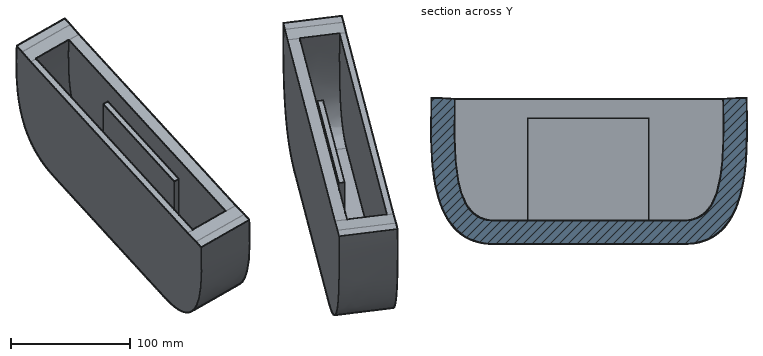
import cadquery as cq

WIDTH = 265.5
DEPTH = 50.0
HEIGHT = 122.7
HALF_WIDTH = WIDTH / 2

TOP_HALF_WIDTH = 132.3
CORNER_RUN = 53.0
FLAT_HALF_WIDTH = HALF_WIDTH - CORNER_RUN
SIDE_BULGE = 1.7
SIDE_PULL = 51.8
BOTTOM_PULL = 55.0

SHELL_THICKNESS = 20.0
FRONT_WALL = 5.5
BACK_WALL = 10.4
POCKET_DEPTH = DEPTH - FRONT_WALL - BACK_WALL
POCKET_BACK_Y = DEPTH - BACK_WALL
POCKET_TOP_HALF_WIDTH = TOP_HALF_WIDTH - SHELL_THICKNESS
POCKET_SIDE_PULL = 62.7
POCKET_BOTTOM_PULL = 31.3

TOP_END_WIDTH = 8.2
RIM_DROP = 0.75

PLATE_WIDTH = 101.7
PLATE_OFFSET = 0.5
PLATE_THICKNESS = 4.8
PLATE_BACK_GAP = 4.3
PLATE_TOP_DROP = 17.3


def rounded_prism(top_half_width, floor_z, side_pull, bottom_pull, back_y, depth):
    """Prism with a straight top, two swept sides and a flat bottom, running forward from back_y."""
    right = [
        (top_half_width, HEIGHT),
        (top_half_width + SIDE_BULGE, HEIGHT - side_pull),
        (FLAT_HALF_WIDTH + bottom_pull, floor_z),
        (FLAT_HALF_WIDTH, floor_z),
    ]
    left = [(-x, z) for x, z in reversed(right)]
    return (
        cq.Workplane("XZ", origin=(0, back_y, 0))
        .moveTo(*right[0])
        .bezier(right)
        .lineTo(*left[0])
        .bezier(left)
        .close()
        .extrude(depth)
    )


def make_top_dip():
    """Shallow dip along the top: a ramp in from each flat end, level between them."""
    ramp_top = HALF_WIDTH - TOP_END_WIDTH
    ramp_foot = POCKET_TOP_HALF_WIDTH
    rim_z = HEIGHT - RIM_DROP
    return (
        cq.Workplane("XZ", origin=(0, DEPTH, 0))
        .polyline([(-ramp_top, HEIGHT), (-ramp_foot, rim_z), (ramp_foot, rim_z), (ramp_top, HEIGHT)])
        .close()
        .extrude(DEPTH)
    )


def make_housing():
    body = rounded_prism(TOP_HALF_WIDTH, 0, SIDE_PULL, BOTTOM_PULL, DEPTH, DEPTH)
    pocket = rounded_prism(
        POCKET_TOP_HALF_WIDTH,
        SHELL_THICKNESS,
        POCKET_SIDE_PULL,
        POCKET_BOTTOM_PULL,
        POCKET_BACK_Y,
        POCKET_DEPTH,
    )
    return body.cut(make_top_dip()).cut(pocket)


def make_plate():
    height = HEIGHT - PLATE_TOP_DROP - SHELL_THICKNESS
    front_y = POCKET_BACK_Y - PLATE_BACK_GAP - PLATE_THICKNESS
    return (
        cq.Workplane("XY", origin=(PLATE_OFFSET, front_y, SHELL_THICKNESS))
        .box(PLATE_WIDTH, PLATE_THICKNESS, height, centered=(True, False, False))
    )


housing = make_housing()
plate = make_plate()

result = cq.Compound.makeCompound([housing.val(), plate.val()])